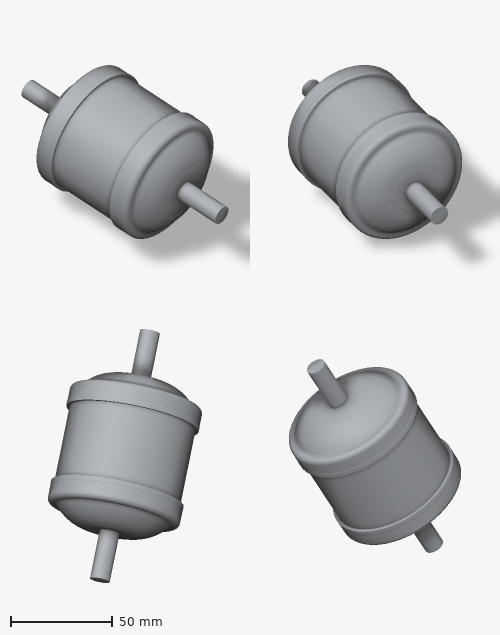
import cadquery as cq
import math

total_length = 128.0
shaft_radius = 5.0

body_radius = 31.7

cap_diameter = 67.0
cap_radius = cap_diameter / 2
cap_inner_x = 19.3
cap_face_x = 30.3
cap_corner_radius = 2.4

rim_outer_x = 21.4
skirt_inner_x = 22.1
skirt_step = 0.1

dome_end_x = 39.2
dome_flat_radius = 10.9
dome_edge_x = 32.9
dome_edge_radius = 26.2
cone_base_x = 31.0
cone_base_radius = 28.2
blend_radius_on_face = 29.7

skirt_radius = cap_radius - skirt_step
corner_start_radius = skirt_radius - cap_corner_radius
corner_end_x = cap_face_x - cap_corner_radius


def central_body():
    """Plain cylinder between the inner faces of the two caps."""
    return cq.Workplane("YZ").circle(body_radius).extrude(cap_inner_x, both=True)


def end_cap():
    """Cap, dome and shaft on the +X side, revolved about the X axis."""
    corner_mid_x = corner_end_x + cap_corner_radius * math.cos(math.pi / 4)
    corner_mid_radius = corner_start_radius + cap_corner_radius * math.sin(math.pi / 4)
    profile = (
        cq.Workplane("XY")
        .moveTo(cap_inner_x, 0)
        .lineTo(total_length / 2, 0)
        .lineTo(total_length / 2, shaft_radius)
        .lineTo(dome_end_x, shaft_radius)
        .lineTo(dome_end_x, dome_flat_radius)
        .tangentArcPoint((dome_edge_x, dome_edge_radius), relative=False)
        .lineTo(cone_base_x, cone_base_radius)
        .tangentArcPoint((cap_face_x, blend_radius_on_face), relative=False)
        .lineTo(cap_face_x, corner_start_radius)
        .threePointArc((corner_mid_x, corner_mid_radius), (corner_end_x, skirt_radius))
        .lineTo(skirt_inner_x, skirt_radius)
        .lineTo(rim_outer_x, cap_radius)
        .lineTo(cap_inner_x, cap_radius)
        .close()
    )
    return profile.revolve(360, (0, 0, 0), (1, 0, 0))


right_cap = end_cap()
left_cap = right_cap.mirror("YZ")
result = central_body().union(right_cap).union(left_cap)